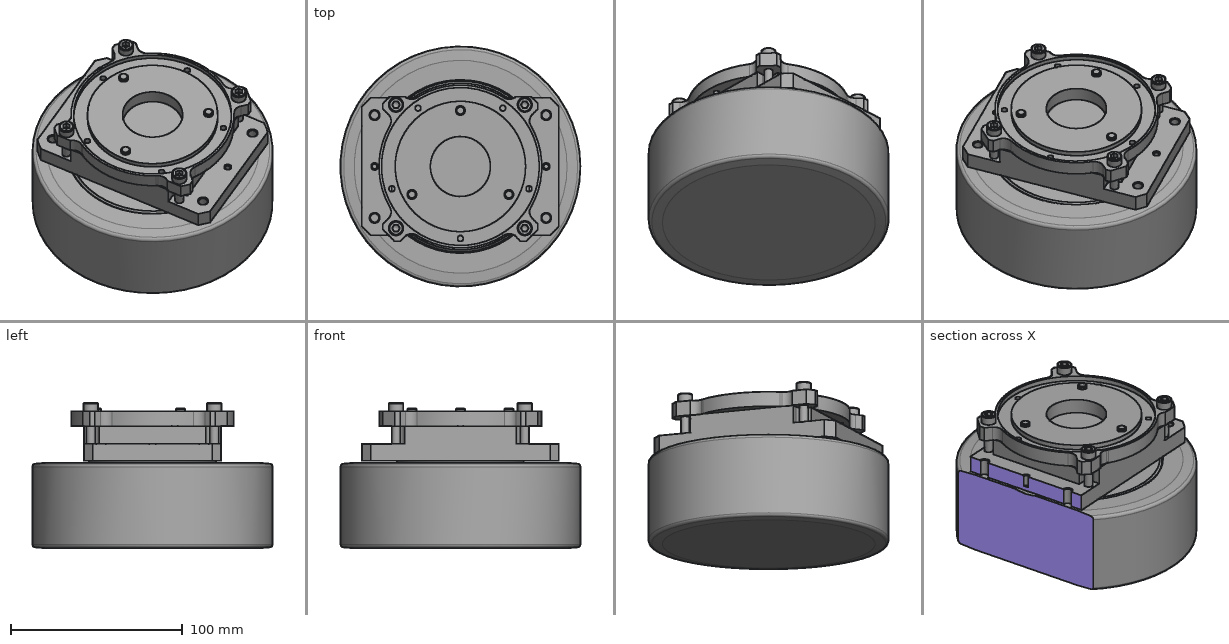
import cadquery as cq
import math

drum_radius = 70.0
drum_height = 50.0
flat_radius = 62.0
cone_drop = 0.5
rim_round = 1.8
groove_outer_radius = 50.5
groove_root_radius = 49.8
groove_inner_radius = 48.6
groove_depth = 1.3

plate_bottom = 51.0
plate_top = 60.9
block_top = 71.3
ring_top = 80.0
overall_height = 85.0

neck_diameter = 74.0
plate_length = 114.8
plate_width = 80.1
plate_corner_chamfer = 5.11
block_length = plate_width
corner_notch_radius = 5.0

plate_hole_x = 50.0
plate_hole_y = 30.0
plate_hole_diameter = 5.0
plate_hole_rim_diameter = 6.0
dowel_hole_diameter = 3.0
dowel_hole_rim_diameter = 4.2
dowel_hole_depth = 7.0

screw_x = 37.5
screw_y = 36.0
shank_diameter = 5.0
head_diameter = 8.5
head_chamfer = 0.5
socket_corner_diameter = 4.5
socket_depth = 3.1
socket_cone_depth = 1.0

ring_radius = 47.5
recess_diameter = 92.0
recess_depth = 3.0
disc_diameter = 76.0
bore_diameter = 35.0
lug_reach = 7.7
lug_corner_reach = 8.4
lug_side_reach = 10.1
back_lug_reach = 4.8
lug_blend_radius = 5.5
ring_hole_count = 5
ring_hole_circle_radius = 42.0
ring_hole_diameter = 3.4

pin_count = 3
pin_circle_radius = 32.6
pin_diameter = 5.5
pin_height = 1.7
pin_chamfer = 0.63

screw_points = [(sx * screw_x, sy * screw_y) for sx in (-1, 1) for sy in (-1, 1)]


def cylinder(diameter, bottom, top, points=((0, 0),)):
    """Upright cylinders between two levels, one at each point."""
    return (
        cq.Workplane("XY").workplane(offset=bottom)
        .pushPoints(list(points)).circle(diameter / 2).extrude(top - bottom)
    )


def circle_points(count, radius, start_angle):
    """Points evenly spaced on a circle about the main axis."""
    angles = [math.radians(start_angle + 360 * i / count) for i in range(count)]
    return [(radius * math.cos(a), radius * math.sin(a)) for a in angles]


def make_drum():
    mid_arc = math.radians(45)
    rim_radius = drum_radius - rim_round
    shoulder = cone_drop + rim_round
    arc_radius = rim_radius + rim_round * math.sin(mid_arc)
    arc_inset = cone_drop + rim_round * (1 - math.cos(mid_arc))
    return (
        cq.Workplane("XZ")
        .lineTo(flat_radius, 0)
        .lineTo(rim_radius, cone_drop)
        .threePointArc((arc_radius, arc_inset), (drum_radius, shoulder))
        .lineTo(drum_radius, drum_height - shoulder)
        .threePointArc((arc_radius, drum_height - arc_inset), (rim_radius, drum_height - cone_drop))
        .lineTo(flat_radius, drum_height)
        .lineTo(groove_outer_radius, drum_height)
        .lineTo(groove_root_radius, drum_height - groove_depth)
        .lineTo(groove_inner_radius, drum_height)
        .lineTo(0, drum_height)
        .close()
        .revolve(360, (0, 0, 0), (0, 1, 0))
    )


def chamfered_holes(points, diameter, rim_diameter, depth):
    """Cutters for holes in the base plate with a 45 degree chamfer at the top."""
    bottom = plate_top - depth
    radius = diameter / 2
    rim_radius = rim_diameter / 2
    cutter = (
        cq.Workplane("XZ")
        .moveTo(0, bottom)
        .lineTo(radius, bottom)
        .lineTo(radius, plate_top - (rim_radius - radius))
        .lineTo(rim_radius, plate_top)
        .lineTo(0, plate_top)
        .close()
        .revolve(360, (0, 0, 0), (0, 1, 0))
    )
    return cq.Workplane("XY").pushPoints(points).eachpoint(cutter.val(), combine=True)


def make_base_plate():
    thickness = plate_top - plate_bottom
    corners = [(sx * plate_hole_x, sy * plate_hole_y) for sx in (-1, 1) for sy in (-1, 1)]
    sides = [(-plate_hole_x, 0), (plate_hole_x, 0)]
    plate = (
        cq.Workplane("XY").workplane(offset=plate_bottom)
        .rect(plate_length, plate_width).extrude(thickness)
        .edges("|Z").chamfer(plate_corner_chamfer)
    )
    through_holes = chamfered_holes(corners, plate_hole_diameter, plate_hole_rim_diameter, thickness)
    dowel_holes = chamfered_holes(sides, dowel_hole_diameter, dowel_hole_rim_diameter, dowel_hole_depth)
    return plate.cut(through_holes).cut(dowel_holes)


def make_block():
    """Block whose corners are notched around the screws."""
    height = block_top - plate_top
    block = (
        cq.Workplane("XY").workplane(offset=plate_top)
        .rect(block_length, plate_width).extrude(height)
    )
    notch_size = 4 * corner_notch_radius
    notch_shift = notch_size / 2 - corner_notch_radius
    for x, y in screw_points:
        center_x = x + math.copysign(notch_shift, x)
        center_y = y + math.copysign(notch_shift, y)
        notch = (
            cq.Workplane("XY").workplane(offset=plate_top)
            .center(center_x, center_y).rect(notch_size, notch_size).extrude(height)
            .edges("|Z").fillet(corner_notch_radius)
        )
        block = block.cut(notch)
    return block


def make_lug(side_x, side_y):
    """Lug around one screw, running inward under the ring."""
    inner = -2 * lug_reach
    offsets = [
        (lug_reach, lug_reach - lug_side_reach),
        (lug_reach, lug_corner_reach - lug_reach),
        (lug_corner_reach - lug_reach, lug_reach),
        (lug_reach - lug_side_reach, lug_reach),
        (inner - lug_side_reach, inner),
        (inner, inner - lug_side_reach),
    ]
    outline = [(side_x * (screw_x + dx), side_y * (screw_y + dy)) for dx, dy in offsets]
    return (
        cq.Workplane("XY").workplane(offset=block_top)
        .polyline(outline).close().extrude(ring_top - block_top)
    )


def is_lug_root(edge):
    """True for an upright edge on the ring's circle, away from its seam on the X axis."""
    tolerance = 0.01
    center = edge.Center()
    on_circle = abs(math.hypot(center.x, center.y) - ring_radius) < tolerance
    return on_circle and abs(center.y) > tolerance


def make_ring():
    round_body = cylinder(2 * ring_radius, block_top, ring_top)
    ring = round_body
    for side_x in (-1, 1):
        for side_y in (-1, 1):
            ring = ring.union(make_lug(side_x, side_y))
    ring = ring.edges("|Z").filter(is_lug_root).fillet(lug_blend_radius)

    cut_depth = 2 * lug_reach
    back_cut = (
        cq.Workplane("XY").workplane(offset=block_top)
        .center(0, screw_y + back_lug_reach + cut_depth / 2)
        .rect(plate_length, cut_depth).extrude(ring_top - block_top)
    )
    ring = ring.cut(back_cut).union(round_body)

    floor = ring_top - recess_depth
    ring = ring.cut(cylinder(recess_diameter, floor, ring_top))
    ring = ring.union(cylinder(disc_diameter, floor, ring_top))
    ring = ring.cut(cylinder(bore_diameter, block_top, ring_top))
    hole_points = circle_points(ring_hole_count, ring_hole_circle_radius, -90)
    return ring.cut(cylinder(ring_hole_diameter, block_top, floor, hole_points))


def make_pins():
    points = circle_points(pin_count, pin_circle_radius, 90)
    pins = cylinder(pin_diameter, ring_top, ring_top + pin_height, points)
    return pins.faces(">Z").chamfer(pin_chamfer)


def make_screw():
    """Bare shank and socket head of one screw, both on the main axis."""
    head = cylinder(head_diameter, ring_top, overall_height).faces(">Z").edges().chamfer(head_chamfer)
    socket_floor = overall_height - socket_depth
    socket = (
        cq.Workplane("XY").workplane(offset=socket_floor)
        .polygon(6, socket_corner_diameter).extrude(socket_depth)
    )
    socket_flat_radius = socket_corner_diameter / 2 * math.cos(math.radians(30))
    socket_tip = cq.Workplane(
        cq.Solid.makeCone(
            socket_flat_radius, 0, socket_cone_depth,
            pnt=cq.Vector(0, 0, socket_floor), dir=cq.Vector(0, 0, -1),
        )
    )
    shank = cylinder(shank_diameter, plate_top, block_top)
    return shank, head.cut(socket).cut(socket_tip)


result = make_drum()
result = result.union(cylinder(neck_diameter, drum_height, plate_bottom))
result = result.union(make_base_plate())
result = result.union(make_block())
result = result.union(make_ring())
result = result.union(make_pins())
shank, head = make_screw()
for x, y in screw_points:
    result = result.union(shank.translate((x, y, 0)))
    result = result.union(head.translate((x, y, 0)))